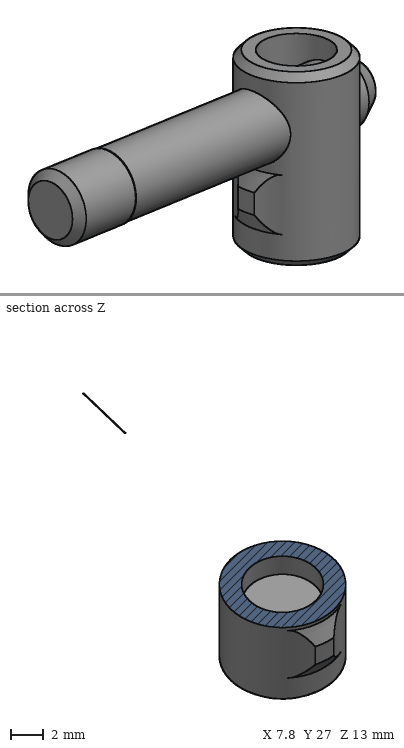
import cadquery as cq
import math

total_length = 27.0

housing_diameter = 7.8
housing_height = 13.0
housing_chamfer = 0.5
bore_diameter = 5.0
bore_depth = 8.0

bar_diameter = 4.9
bar_hole_diameter = 4.91
bar_height = 9.0
bar_tail_reach = 5.35
tail_taper_length = 1.45
tail_end_diameter = 3.2

cap_diameter = 5.0
cap_length = 5.0
cap_chamfer = 0.6

lug_width = 4.0
lug_height = 4.25
lug_step_radius = 4.05
lug_step_height = 3.3
lug_tip_radius = 4.48
lug_tip_width = 1.4
lug_tip_height = 1.5

housing_radius = housing_diameter / 2
bar_front_y = bar_tail_reach - total_length
bar_joint_y = bar_front_y + cap_length


def cylinder_along_y(diameter, start_y, length):
    """Cylinder on the bar axis, running from start_y toward +Y."""
    plane = cq.Plane(origin=(0, start_y, bar_height), xDir=(1, 0, 0), normal=(0, 1, 0))
    return cq.Workplane(plane).circle(diameter / 2).extrude(length)


def make_lug_ring():
    """Ring around the housing whose upper and lower flanks slope to a narrow rim."""
    upper_flank = [
        (housing_radius, lug_width / 2),
        (lug_step_radius, lug_step_height / 2),
        (lug_tip_radius, lug_tip_height / 2),
    ]
    lower_flank = [(radius, -height) for radius, height in reversed(upper_flank)]
    profile = [(0, lug_width / 2)] + upper_flank + lower_flank + [(0, -lug_width / 2)]
    ring = cq.Workplane("XZ").polyline(profile).close().revolve(360, (0, 0, 0), (0, 1, 0))
    return ring.translate((0, 0, lug_height))


def make_lug_plan():
    """Prism with hollow sides that leave the housing at a tangent and meet the lug tip."""
    half_width = lug_width / 2
    half_tip = lug_tip_width / 2
    root_y = math.sqrt(housing_radius**2 - half_width**2)
    tip_y = math.sqrt(lug_tip_radius**2 - half_tip**2)

    chord_x = half_tip - half_width
    chord_y = tip_y - root_y
    outward_x = half_width / housing_radius
    outward_y = root_y / housing_radius
    chord_outward = chord_x * outward_x + chord_y * outward_y
    arc_radius = (chord_x**2 + chord_y**2) / (2 * chord_outward)
    centre_x = half_width + arc_radius * outward_x
    centre_y = root_y + arc_radius * outward_y

    toward_x = (half_width + half_tip) / 2 - centre_x
    toward_y = (root_y + tip_y) / 2 - centre_y
    stretch = arc_radius / math.hypot(toward_x, toward_y)
    middle_x = centre_x + toward_x * stretch
    middle_y = centre_y + toward_y * stretch

    plan = (
        cq.Workplane("XY")
        .moveTo(half_width, 0)
        .lineTo(half_width, root_y)
        .threePointArc((middle_x, middle_y), (half_tip, tip_y))
        .threePointArc((0, lug_tip_radius), (-half_tip, tip_y))
        .threePointArc((-middle_x, middle_y), (-half_width, root_y))
        .lineTo(-half_width, 0)
        .close()
        .extrude(lug_width)
    )
    return plan.translate((0, 0, lug_height - lug_width / 2))


def make_housing():
    """Upright post with a lug front and back, a blind top bore and a cross hole for the bar."""
    post = cq.Workplane("XY").circle(housing_radius).extrude(housing_height)
    post = post.faces("<Z or >Z").chamfer(housing_chamfer)
    lug = make_lug_ring().intersect(make_lug_plan())
    for angle in (0, 180):
        post = post.union(lug.rotate((0, 0, 0), (0, 0, 1), angle))
    post = post.faces(">Z").workplane(origin=(0, 0, 0)).circle(bore_diameter / 2).cutBlind(-bore_depth)
    return post.cut(cylinder_along_y(bar_hole_diameter, -housing_diameter, 2 * housing_diameter))


def make_bar():
    """Plain round bar that narrows to a flat tail at its +Y end."""
    taper_inset = (bar_diameter - tail_end_diameter) / 2
    bar = cylinder_along_y(bar_diameter, bar_joint_y, bar_tail_reach - bar_joint_y)
    return bar.faces(">Y").chamfer(tail_taper_length, taper_inset)


def make_cap():
    """Chamfered end piece, slightly wider than the bar, butted against its front end."""
    cap = cylinder_along_y(cap_diameter, bar_front_y, cap_length)
    return cap.faces("<Y").chamfer(cap_chamfer)


housing = make_housing()
bar = make_bar()
cap = make_cap()

result = cq.Compound.makeCompound([housing.val(), bar.val(), cap.val()])